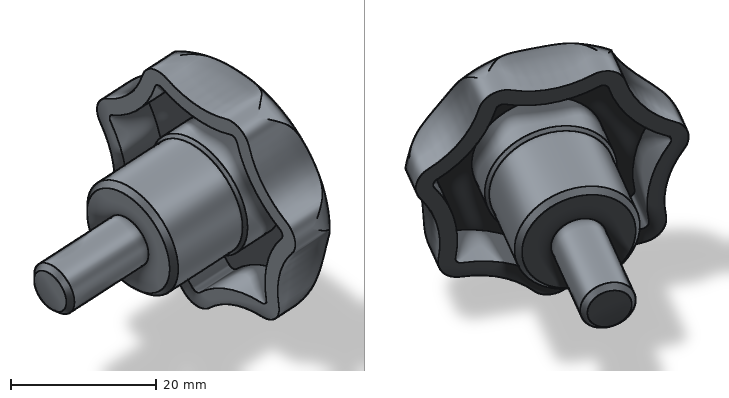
import cadquery as cq
import math


overall_length = 39.93

lobe_count = 7
head_radius = 20.0
head_height = 11.9
dome_edge_radius = 14.05
dome_edge_height = 10.2
edge_round_start = 3.35
lobe_radius = 3.47
flute_radius = 15.0

wall_thickness = 2.5
hollow_depth = 7.0

collar_radius = 19.0 / 2
hub_radius = 18.0 / 2
hub_length = 13.0
hub_chamfer = 0.85
collar_chamfer_start = 0.15
stud_radius = 8 / 2
stud_length = overall_length - head_height - hub_length
stud_chamfer = 0.8


def polar(radius, angle):
    """Point at a radius and angle around the knob axis, as (X, Z)."""
    return radius * math.cos(angle), radius * math.sin(angle)


def star_prism(inset, height):
    """Prism from Y = 0 toward +Y, with the lobed outline moved inward by inset."""
    half_pitch = math.pi / lobe_count
    lobe_center = head_radius - lobe_radius
    center_distance = lobe_radius + flute_radius
    half_chord = lobe_center * math.sin(half_pitch)
    flute_center = lobe_center * math.cos(half_pitch) + math.sqrt(center_distance**2 - half_chord**2)
    valley_radius = flute_center - flute_radius - inset
    tip_radius = head_radius - inset
    tangent_tilt = math.atan2(
        flute_center * math.sin(half_pitch), flute_center * math.cos(half_pitch) - lobe_center
    )
    arc_radius = lobe_radius - inset
    along = lobe_center + arc_radius * math.cos(tangent_tilt)
    across = arc_radius * math.sin(tangent_tilt)
    tangent_radius = math.hypot(along, across)
    tangent_angle = math.atan2(across, along)

    first_lobe = -math.pi / 2
    outline = cq.Workplane("XZ").moveTo(*polar(tangent_radius, first_lobe - tangent_angle))
    for index in range(lobe_count):
        lobe = first_lobe + 2 * half_pitch * index
        next_lobe = lobe + 2 * half_pitch
        outline = outline.threePointArc(
            polar(tip_radius, lobe), polar(tangent_radius, lobe + tangent_angle)
        )
        outline = outline.threePointArc(
            polar(valley_radius, lobe + half_pitch), polar(tangent_radius, next_lobe - tangent_angle)
        )
    return outline.close().extrude(-height)


def domed_blank():
    """Round head with a rounded edge, tangent to its side, and a shallow spherical dome."""
    dome_rise = head_height - dome_edge_height
    dome_radius = (dome_edge_radius**2 + dome_rise**2) / (2 * dome_rise)
    half_tilt = math.asin(dome_edge_radius / dome_radius) / 2
    dome_middle = (
        dome_radius * math.sin(half_tilt),
        head_height - dome_radius * (1 - math.cos(half_tilt)),
    )
    return (
        cq.Workplane("XY")
        .lineTo(head_radius, 0)
        .lineTo(head_radius, edge_round_start)
        .tangentArcPoint((dome_edge_radius, dome_edge_height), relative=False)
        .threePointArc(dome_middle, (0, head_height))
        .close()
        .revolve(360, (0, 0), (0, 1))
    )


def hub_and_stud():
    """Stepped spindle from the hollow's floor down to the stud tip."""
    hub_end = -hub_length
    stud_end = hub_end - stud_length
    return (
        cq.Workplane("XY")
        .moveTo(0, hollow_depth)
        .lineTo(collar_radius, hollow_depth)
        .lineTo(collar_radius, collar_chamfer_start + collar_radius - hub_radius)
        .lineTo(hub_radius, collar_chamfer_start)
        .lineTo(hub_radius, hub_end + hub_chamfer)
        .lineTo(hub_radius - hub_chamfer, hub_end)
        .lineTo(stud_radius, hub_end)
        .lineTo(stud_radius, stud_end + stud_chamfer)
        .lineTo(stud_radius - stud_chamfer, stud_end)
        .lineTo(0, stud_end)
        .close()
        .revolve(360, (0, 0), (0, 1))
    )


head = domed_blank().intersect(star_prism(0, head_height))
hollow = star_prism(wall_thickness, hollow_depth)
result = head.cut(hollow).union(hub_and_stud())